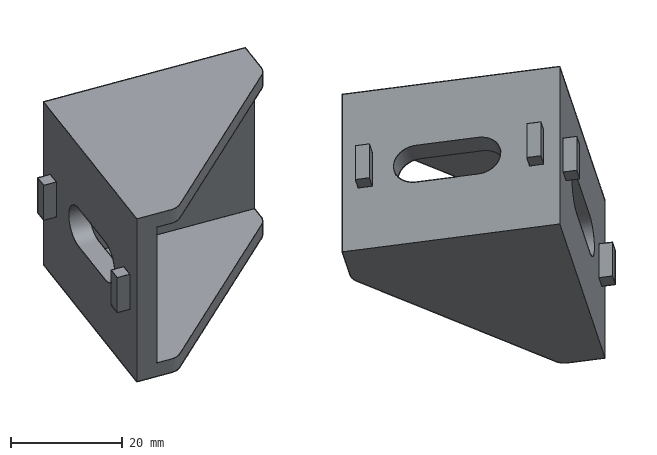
import cadquery as cq

lug_depth = 2.5
leg_length = 42.5 - lug_depth
height = 36.0
leg_end = 8.08
tip_radius = 2.98
wall = 4.0
cheek = 3.0

slot_length = 19.68
slot_width = 8.37
slot_center = 20.7

lug_width = 2.6
lug_height = 7.75
lug_pitch = 31.5

mid_height = height / 2
lug_centers = [leg_length / 2 + side * lug_pitch / 2 for side in (-1, 1)]


def make_body():
    """Solid prism with the sloping face between the two leg tips."""
    outline = [
        (0, 0),
        (leg_length, 0),
        (leg_length, leg_end),
        (leg_end, leg_length),
        (0, leg_length),
    ]
    tips = cq.selectors.BoxSelector(
        (leg_end / 2, leg_end / 2, 0), (leg_length + 0.42, leg_length + 0.42, height)
    )
    prism = cq.Workplane("XY").polyline(outline).close().extrude(height)
    return prism.edges("|Z").edges(tips).fillet(tip_radius)


def make_cavity():
    """Pocket between the walls and cheeks, open through the sloping face."""
    return (
        cq.Workplane("XY")
        .box(leg_length, leg_length, height - 2 * cheek, centered=False)
        .translate((wall, wall, cheek))
    )


def make_slot():
    """Slot cutter for the wall lying in the XZ plane."""
    return (
        cq.Workplane("XZ")
        .center(slot_center, mid_height)
        .slot2D(slot_length, slot_width)
        .extrude(-wall)
    )


def make_lugs():
    """Pair of lugs standing out from the wall lying in the XZ plane."""
    return (
        cq.Workplane("XZ")
        .pushPoints([(center, mid_height) for center in lug_centers])
        .rect(lug_width, lug_height)
        .extrude(lug_depth)
    )


def swap_walls(shape):
    """Move a feature to the other wall by mirroring it across the plane x = y."""
    return shape.mirror("YZ").rotate((0, 0, 0), (0, 0, 1), -90)


result = make_body().cut(make_cavity())
slot = make_slot()
lugs = make_lugs()
result = result.cut(slot).cut(swap_walls(slot))
result = result.union(lugs).union(swap_walls(lugs))